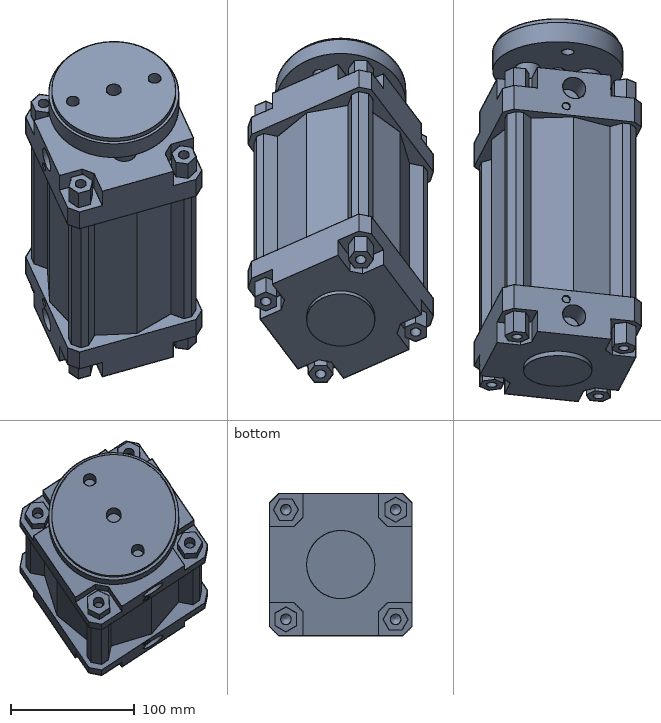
import cadquery as cq
import math

spigot_height = 4.0
cover_height = 40.0
barrel_height = 158.5
rod_length = 28.5
plate_height = 17.5
plate_rim_height = 4.5

lower_cover_z = spigot_height
barrel_z = lower_cover_z + cover_height
upper_cover_z = barrel_z + barrel_height
housing_top_z = upper_cover_z + cover_height
plate_z = housing_top_z + rod_length
plate_rim_z = plate_z + plate_height

cover_width = 115.0
cover_chamfer = 7.5
notch_width = 27.0
notch_depth = 18.5
notch_inner_chamfer = 7.5
spigot_diameter = 55.0

nut_spacing = 88.5
nut_across_flats = 17.5
nut_hole_diameter = 8.5
nut_hole_depth = 20.0
drill_point_angle = 118.0

port_diameter = 19.0
port_depth = 22.0
upper_port_offset = 15.0
lower_port_offset = 18.0
recess_diameter = 6.5
recess_depth = 1.5
recess_x = -6.5
recess_offset = 32.0

ridge_reach = 55.0
post_reach = 53.5
post_chamfer = 6.0
post_flat = 6.5
valley_depth = 8.3

plate_diameter = 105.0
plate_rim_diameter = 100.0
rod_diameter = 20.0
rod_spacing = 50.0
plate_center_hole = 11.84
plate_side_hole = 10.11
plate_side_hole_spacing = 70.0


def cylinder(diameter, height, x, y, z):
    return cq.Workplane("XY", origin=(x, y, z)).circle(diameter / 2).extrude(height)


def corner_notch():
    """Notch at the (+X, +Y) corner of the upper end of a cover whose outer face is at Z = 0."""
    outer = cover_width / 2
    inner = outer - notch_width
    return (
        cq.Workplane("XY", origin=(0, 0, -notch_depth))
        .moveTo(outer, outer)
        .lineTo(inner, outer)
        .lineTo(inner, inner + notch_inner_chamfer)
        .lineTo(inner + notch_inner_chamfer, inner)
        .lineTo(outer, inner)
        .close()
        .extrude(notch_depth)
    )


def corner_nut():
    """Drilled hexagonal nut in the (+X, +Y) notch, flush with the outer face at Z = 0."""
    center = nut_spacing / 2
    radius = nut_hole_diameter / 2
    point_height = radius / math.tan(math.radians(drill_point_angle / 2))
    hexagon_diameter = nut_across_flats / math.cos(math.pi / 6)
    nut = (
        cq.Workplane("XY", origin=(center, center, -notch_depth))
        .polygon(6, hexagon_diameter)
        .extrude(notch_depth)
    )
    drill = (
        cq.Workplane("XZ")
        .lineTo(radius, 0)
        .lineTo(radius, -nut_hole_depth)
        .lineTo(0, -nut_hole_depth - point_height)
        .close()
        .revolve(360, (0, 0, 0), (0, 1, 0))
        .translate((center, center, 0))
    )
    return nut, drill


def face_hole(diameter, depth, x, offset):
    """Blind hole in the -Y face, at a distance below the outer face at Z = 0."""
    return (
        cq.Workplane("XZ", origin=(x, -cover_width / 2, -offset))
        .circle(diameter / 2)
        .extrude(-depth)
    )


def make_cover(port_offset):
    """End cover with its outer face at Z = 0 and its body below."""
    cover = (
        cq.Workplane("XY", origin=(0, 0, -cover_height))
        .rect(cover_width, cover_width)
        .extrude(cover_height)
        .edges("|Z")
        .chamfer(cover_chamfer)
    )
    notch = corner_notch()
    nut, drill = corner_nut()
    for corner in range(4):
        turn = ((0, 0, 0), (0, 0, 1), 90 * corner)
        cover = cover.cut(notch.rotate(*turn))
        cover = cover.union(nut.rotate(*turn))
        cover = cover.cut(drill.rotate(*turn))
    cover = cover.cut(face_hole(port_diameter, port_depth, 0, port_offset))
    return cover.cut(face_hole(recess_diameter, recess_depth, recess_x, recess_offset))


def make_barrel():
    post_end = post_reach - post_chamfer
    post_start = post_end - post_flat
    valley_x = post_start - valley_depth
    valley_reach = post_reach - valley_depth
    side = [
        (-post_end, -post_reach),
        (-post_start, -post_reach),
        (-valley_x, -valley_reach),
        (0, -ridge_reach),
        (valley_x, -valley_reach),
        (post_start, -post_reach),
        (post_end, -post_reach),
    ]
    outline = []
    for _ in range(4):
        outline += side
        side = [(-y, x) for x, y in side]
    return cq.Workplane("XY", origin=(0, 0, barrel_z)).polyline(outline).close().extrude(barrel_height)


def make_housing():
    upper_cover = make_cover(upper_port_offset).translate((0, 0, housing_top_z))
    lower_cover = make_cover(lower_port_offset).mirror("XY").translate((0, 0, lower_cover_z))
    spigot = cylinder(spigot_diameter, spigot_height, 0, 0, 0)
    return make_barrel().union(upper_cover).union(lower_cover).union(spigot)


def make_push_plate():
    """Round plate on two rods that stand on the top face of the housing."""
    plate = cylinder(plate_diameter, plate_height, 0, 0, plate_z)
    plate = plate.union(cylinder(plate_rim_diameter, plate_rim_height, 0, 0, plate_rim_z))
    hole_length = plate_height + plate_rim_height
    plate = plate.cut(cylinder(plate_center_hole, hole_length, 0, 0, plate_z))
    for side in (-1, 1):
        hole_y = side * plate_side_hole_spacing / 2
        plate = plate.cut(cylinder(plate_side_hole, hole_length, 0, hole_y, plate_z))
        rod_x = side * rod_spacing / 2
        plate = plate.union(cylinder(rod_diameter, rod_length, rod_x, 0, housing_top_z))
    return plate


housing = make_housing()
push_plate = make_push_plate()

result = cq.Compound.makeCompound([housing.val(), push_plate.val()])